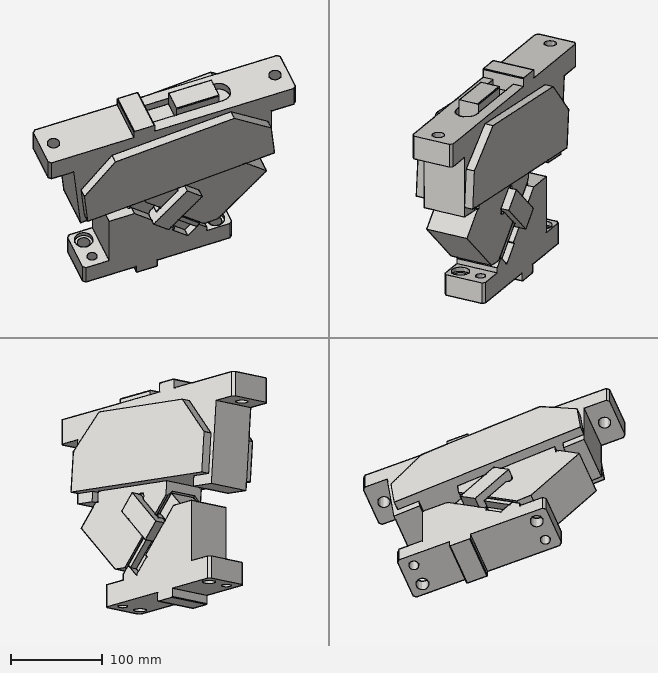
import cadquery as cq
import math


CORE_WIDTH = 50.0
TOTAL_HEIGHT = 245.0
KEY_LENGTH = 24.6
KEY_HEIGHT = 10.2
KEY_CHAMFER = 1.0
CORNER_CHAMFER = 3.0
HOLE_INSET = 15.0

HOLDER_LENGTH = 290.0
HOLDER_TOP = TOTAL_HEIGHT - KEY_HEIGHT
HOLDER_FLANGE_THICKNESS = 27.5
HOLDER_BACK = 116.0
HOLDER_HOLE_DIAMETER = 13.3
HOLDER_KEY_FRONT = -45.5
FOOT_DROP = 11.5
REAR_FOOT_END = 25.0
FRONT_FOOT_START = 195.2
HOLDER_FRONT = 225.5

TRACK_TILT = 5.0
TRACK_START = (115.7, 146.7)
PLATE_LENGTH = 220.0
PLATE_HEIGHT = 85.0
PLATE_CORNER = 40.0
PLATE_SPAN = 70.0

SLOT_WIDTH = 25.0
SLOT_DEPTH = 10.0
SLOT_BACK = 76.5
BLOCK_WIDTH = 24.0
BLOCK_LENGTH = 50.0
BLOCK_BACK = 59.7

INCLINE = 45.0
INCLINE_START = (42.3, 43.0)
GROOVE_HALF_WIDTH = 22.0
STEM_HALF_WIDTH = 16.0
GROOVE_FLANK = 30.0

SLIDER_GAP = 1.0
SLIDER_HEAD_START = 34.5
SLIDER_HEAD_LENGTH = 115.0
SLIDER_HEAD_DROP = 12.8
SLIDER_DROP = 91.0
SLIDER_THICKNESS = 93.0
SLIDER_LOW_END = -3.0
SLIDER_REACH = 174.0

HOOK_SPAN = 69.0
HOOK_START = 54.8
HOOK_WIDTH = 25.0
HOOK_TOP = 39.0
HOOK_BOTTOM = -17.0
HOOK_POCKET_DEPTH = 2.3
HOOK_TOE_TOP = -7.2
HOOK_TOE_INNER = 17.5
HOOK_TOE_CHAMFER = 3.0
RELIEF_RADIUS = 4.4
RELIEF_DROP = 5.5

BASE_BACK = 70.2
BASE_LENGTH = 175.0
BASE_FLANGE_THICKNESS = 25.0
BASE_BLOCK_BACK = 40.0
BASE_BLOCK_FRONT = -74.5
BASE_BLOCK_TOP = 103.0
BASE_KEY_FRONT = -42.5
BASE_HOLE_X = 12.5
BOLT_DIAMETER = 14.0
COUNTERBORE_DIAMETER = 20.0
COUNTERBORE_DEPTH = 5.0
DOWEL_DIAMETER = 10.7

LIP_HEIGHT = -3.0
SEAT_HEIGHT = -19.0
POCKET_FLOOR = -22.0
POCKET_END = 37.5
GUIDE_START = 12.8
GUIDE_END = 106.7
GUIDE_FLANGE_END = 79.8
GUIDE_FLANGE_TOP = -1.7
GUIDE_FLANGE_HALF_WIDTH = 24.5

GROOVE_DEPTH = (GROOVE_HALF_WIDTH - STEM_HALF_WIDTH) * math.tan(math.radians(GROOVE_FLANK))

tilt_cos = math.cos(math.radians(TRACK_TILT))
tilt_sin = math.sin(math.radians(TRACK_TILT))
incline_cos = math.cos(math.radians(INCLINE))
incline_sin = math.sin(math.radians(INCLINE))


def track_point(along, up):
    """Y and Z of a point given on the holder's tilted track."""
    return (
        TRACK_START[0] - along * tilt_cos - up * tilt_sin,
        TRACK_START[1] - along * tilt_sin + up * tilt_cos,
    )


def incline_point(along, up):
    """Y and Z of a point given on the incline."""
    return (
        INCLINE_START[0] - along * incline_cos + up * incline_sin,
        INCLINE_START[1] + along * incline_sin + up * incline_cos,
    )


def slab(points, x_start, x_end):
    """A flat solid with an outline in Y and Z, reaching from one X to another."""
    return cq.Workplane("YZ", origin=(x_start, 0, 0)).polyline(points).close().extrude(x_end - x_start)


def centred_slab(points, width):
    return slab(points, -width / 2, width / 2)


def rectangle_on(point_at, start, end, bottom, top):
    """Corners of a rectangle set on one of the two tracks."""
    return [point_at(start, bottom), point_at(end, bottom), point_at(end, top), point_at(start, top)]


def upright_box(width, y_back, length, z_bottom, height):
    """A box centred across the unit, running forward from its rear face."""
    return cq.Workplane("XY").box(width, length, height, centered=(True, False, False)).translate(
        (0, y_back - length, z_bottom)
    )


def incline_section(along):
    """A workplane across the incline: local x is X and local y is the height above the underside."""
    return cq.Workplane(
        cq.Plane(origin=(0, *incline_point(along, 0)), xDir=(1, 0, 0), normal=(0, -incline_cos, incline_sin))
    )


def groove_outline():
    """Half widths and heights of the slider's groove, from mouth to roof."""
    return [
        (-GROOVE_HALF_WIDTH, 0),
        (GROOVE_HALF_WIDTH, 0),
        (STEM_HALF_WIDTH, GROOVE_DEPTH),
        (-STEM_HALF_WIDTH, GROOVE_DEPTH),
    ]


def holder_core():
    flange_bottom = HOLDER_TOP - HOLDER_FLANGE_THICKNESS
    flange = upright_box(
        CORE_WIDTH, HOLDER_LENGTH / 2, HOLDER_LENGTH, flange_bottom, HOLDER_FLANGE_THICKNESS
    ).edges("|Z").chamfer(CORNER_CHAMFER)

    track_slope = tilt_sin / tilt_cos
    front_low = track_point(HOLDER_FRONT, -FOOT_DROP)
    front_high = (front_low[0] - (flange_bottom - front_low[1]) * track_slope, flange_bottom)
    foot_corner = track_point(REAR_FOOT_END, -FOOT_DROP)
    back_low = (HOLDER_BACK, foot_corner[1] + (HOLDER_BACK - foot_corner[0]) * track_slope)
    body = centred_slab(
        [
            (HOLDER_BACK, flange_bottom),
            back_low,
            foot_corner,
            track_point(REAR_FOOT_END, 0),
            track_point(FRONT_FOOT_START, 0),
            track_point(FRONT_FOOT_START, -FOOT_DROP),
            front_low,
            front_high,
        ],
        CORE_WIDTH,
    )
    return flange.union(body)


def side_plates():
    outline = [
        track_point(0, 0),
        track_point(PLATE_LENGTH, 0),
        track_point(PLATE_LENGTH, PLATE_HEIGHT - PLATE_CORNER),
        track_point(PLATE_LENGTH - PLATE_CORNER, PLATE_HEIGHT),
        track_point(PLATE_CORNER, PLATE_HEIGHT),
        track_point(0, PLATE_HEIGHT - PLATE_CORNER),
    ]
    right = slab(outline, CORE_WIDTH / 2, PLATE_SPAN / 2)
    return right.union(right.mirror("YZ"))


def holder_key():
    key = upright_box(CORE_WIDTH, HOLDER_KEY_FRONT + KEY_LENGTH, KEY_LENGTH, HOLDER_TOP, KEY_HEIGHT)
    return key.faces(">Z").edges("|X").chamfer(KEY_CHAMFER)


def top_slot():
    """Slot with a round rear end, stopping at the key."""
    floor = HOLDER_TOP - SLOT_DEPTH
    radius = SLOT_WIDTH / 2
    arc_centre = SLOT_BACK - radius
    slot_front = HOLDER_KEY_FRONT + KEY_LENGTH
    straight = upright_box(SLOT_WIDTH, arc_centre, arc_centre - slot_front, floor, SLOT_DEPTH)
    round_end = cq.Workplane("XY", origin=(0, arc_centre, floor)).circle(radius).extrude(SLOT_DEPTH)
    return straight.union(round_end)


def slot_block():
    floor = HOLDER_TOP - SLOT_DEPTH
    block = upright_box(BLOCK_WIDTH, BLOCK_BACK, BLOCK_LENGTH, floor, TOTAL_HEIGHT - floor)
    return block.faces(">Z").edges("|Y").chamfer(KEY_CHAMFER)


def build_holder():
    hole_y = HOLDER_LENGTH / 2 - HOLE_INSET
    holes = (
        cq.Workplane("XY", origin=(0, 0, HOLDER_TOP - HOLDER_FLANGE_THICKNESS))
        .pushPoints([(0, hole_y), (0, -hole_y)])
        .circle(HOLDER_HOLE_DIAMETER / 2)
        .extrude(HOLDER_FLANGE_THICKNESS)
    )
    plated = holder_core().union(side_plates()).union(holder_key())
    return plated.cut(holes).cut(top_slot()).union(slot_block())


def slider_body():
    head_end = SLIDER_HEAD_START + SLIDER_HEAD_LENGTH
    head = centred_slab(
        rectangle_on(track_point, SLIDER_HEAD_START, head_end, -SLIDER_HEAD_DROP, -SLIDER_GAP), CORE_WIDTH
    )
    block = centred_slab(
        rectangle_on(incline_point, SLIDER_LOW_END, SLIDER_REACH, 0, SLIDER_THICKNESS), CORE_WIDTH
    )
    trim = centred_slab(
        rectangle_on(track_point, head_end - SLIDER_REACH, head_end, -SLIDER_DROP, -SLIDER_HEAD_DROP),
        CORE_WIDTH,
    )
    groove = (
        incline_section(SLIDER_LOW_END)
        .polyline(groove_outline())
        .close()
        .extrude(SLIDER_REACH - SLIDER_LOW_END)
    )
    return block.intersect(trim).union(head).cut(groove)


def corner_reliefs():
    """Round reliefs beside the hook's top corners, sunk into the slider's +X side."""
    hook_edges = (HOOK_START, HOOK_START + HOOK_WIDTH)
    centres = [incline_point(along, HOOK_TOP - RELIEF_DROP) for along in hook_edges]
    return (
        cq.Workplane("YZ", origin=(CORE_WIDTH / 2 - HOOK_POCKET_DEPTH, 0, 0))
        .pushPoints(centres)
        .circle(RELIEF_RADIUS)
        .extrude(HOOK_POCKET_DEPTH)
    )


def hook():
    """L-shaped hook on the +X side, let into the slider, its toe reaching under the guide's flange."""
    side = CORE_WIDTH / 2
    tip = HOOK_SPAN / 2
    outline = [
        (side - HOOK_POCKET_DEPTH, HOOK_TOP),
        (tip, HOOK_TOP),
        (tip, HOOK_BOTTOM),
        (HOOK_TOE_INNER + HOOK_TOE_CHAMFER, HOOK_BOTTOM),
        (HOOK_TOE_INNER, HOOK_BOTTOM + HOOK_TOE_CHAMFER),
        (HOOK_TOE_INNER, HOOK_TOE_TOP),
        (side, HOOK_TOE_TOP),
        (side, 0),
        (side - HOOK_POCKET_DEPTH, 0),
    ]
    return incline_section(HOOK_START).polyline(outline).close().extrude(HOOK_WIDTH)


def build_slider():
    reliefs = corner_reliefs()
    side_hook = hook()
    slider = slider_body().cut(reliefs).cut(reliefs.mirror("YZ"))
    return slider.union(side_hook).union(side_hook.mirror("YZ"))


def base_core():
    flange_top = KEY_HEIGHT + BASE_FLANGE_THICKNESS
    flange = upright_box(CORE_WIDTH, BASE_BACK, BASE_LENGTH, KEY_HEIGHT, BASE_FLANGE_THICKNESS)
    flange = flange.edges("|Z").chamfer(CORNER_CHAMFER)

    lip = incline_point(GUIDE_START, LIP_HEIGHT)
    step = incline_point(POCKET_END, SEAT_HEIGHT)
    block = centred_slab(
        [
            (BASE_BLOCK_BACK, flange_top),
            (BASE_BLOCK_BACK, lip[1] - (BASE_BLOCK_BACK - lip[0])),
            lip,
            incline_point(GUIDE_START, POCKET_FLOOR),
            incline_point(POCKET_END, POCKET_FLOOR),
            step,
            (step[0] - (BASE_BLOCK_TOP - step[1]), BASE_BLOCK_TOP),
            (BASE_BLOCK_FRONT, BASE_BLOCK_TOP),
            (BASE_BLOCK_FRONT, flange_top),
        ],
        CORE_WIDTH,
    )
    key = upright_box(CORE_WIDTH, BASE_KEY_FRONT + KEY_LENGTH, KEY_LENGTH, 0, KEY_HEIGHT)
    key = key.faces("<Z").edges("|X").chamfer(KEY_CHAMFER)
    return flange.union(block).union(key)


def guide():
    """Rail with side flanges and a top that fits the slider's groove."""
    stem_height = GROOVE_DEPTH - POCKET_FLOOR
    stem = (
        incline_section(GUIDE_START)
        .center(0, POCKET_FLOOR + stem_height / 2)
        .rect(2 * STEM_HALF_WIDTH, stem_height)
        .extrude(GUIDE_END - GUIDE_START)
    )
    flange_outline = [
        (-GUIDE_FLANGE_HALF_WIDTH, HOOK_TOE_TOP),
        (GUIDE_FLANGE_HALF_WIDTH, HOOK_TOE_TOP),
        (GUIDE_FLANGE_HALF_WIDTH, GUIDE_FLANGE_TOP),
        (GROOVE_HALF_WIDTH, GUIDE_FLANGE_TOP),
        (GROOVE_HALF_WIDTH, 0),
        (STEM_HALF_WIDTH, GROOVE_DEPTH),
        (-STEM_HALF_WIDTH, GROOVE_DEPTH),
        (-GROOVE_HALF_WIDTH, 0),
        (-GROOVE_HALF_WIDTH, GUIDE_FLANGE_TOP),
        (-GUIDE_FLANGE_HALF_WIDTH, GUIDE_FLANGE_TOP),
    ]
    flanged = (
        incline_section(GUIDE_START).polyline(flange_outline).close().extrude(GUIDE_FLANGE_END - GUIDE_START)
    )
    return stem.union(flanged)


def base_holes():
    """A counterbored bolt hole and a dowel hole at each end, swapped from end to end."""
    back_y = BASE_BACK - HOLE_INSET
    front_y = BASE_BACK - BASE_LENGTH + HOLE_INSET
    bolt_centres = [(BASE_HOLE_X, back_y), (-BASE_HOLE_X, front_y)]
    dowel_centres = [(-BASE_HOLE_X, back_y), (BASE_HOLE_X, front_y)]

    def drills(centres, diameter, depth):
        top = KEY_HEIGHT + BASE_FLANGE_THICKNESS
        plane = cq.Workplane("XY", origin=(0, 0, top))
        return plane.pushPoints(centres).circle(diameter / 2).extrude(-depth)

    return (
        drills(bolt_centres, BOLT_DIAMETER, BASE_FLANGE_THICKNESS)
        .union(drills(bolt_centres, COUNTERBORE_DIAMETER, COUNTERBORE_DEPTH))
        .union(drills(dowel_centres, DOWEL_DIAMETER, BASE_FLANGE_THICKNESS))
    )


def build_base():
    return base_core().union(guide()).cut(base_holes())


holder = build_holder()
slider = build_slider()
base = build_base()

result = cq.Compound.makeCompound([holder.solids().val(), slider.solids().val(), base.solids().val()])